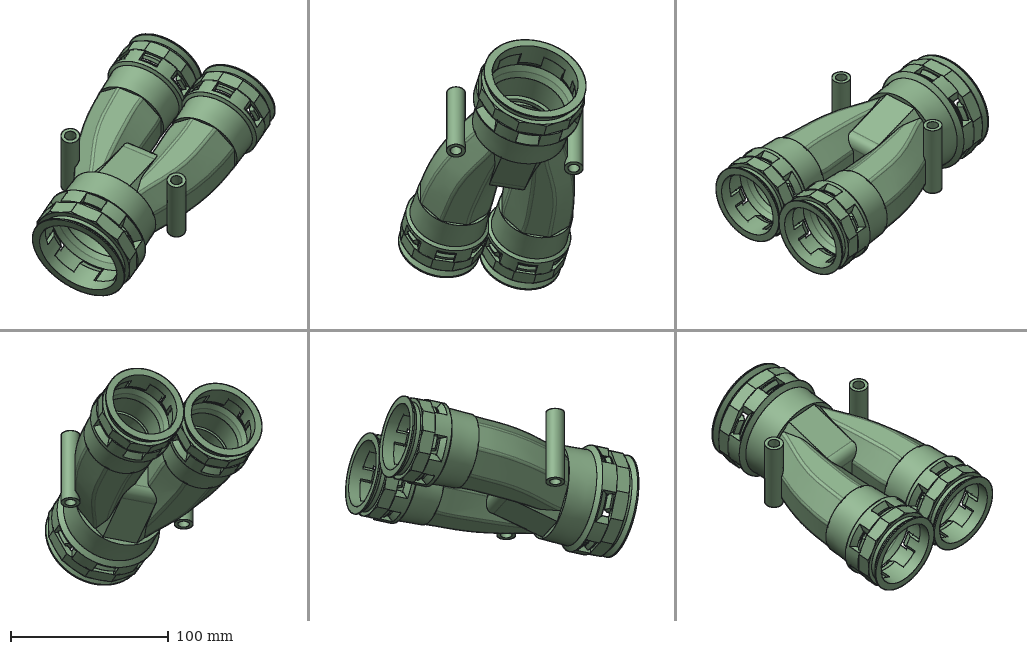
import cadquery as cq
import math

LENGTH = 165.3
WIDTH = 107.0
MIRROR_SIGNS = (-1, 1)
NUT_SIDES = 12

LIP_DEPTH = 1.0
FLARE_DEPTH = 3.6
NUT_DEPTH = 6.5
SHOULDER_DEPTH = 7.8
SEAL_CONE_DEPTH = 24.1
SEAL_END_DEPTH = 28.0
SOCKET_DEPTH = 44.6
NUT_CHAMFER = 0.7

LARGE_PORT = dict(
    flare_radius=33.0, neck_radius=30.2, ring_bore=27.8, socket_radius=25.8, bore_radius=22.6,
    collar_radius=34.5, sleeve_front=31.2, sleeve_back=30.4,
    window_start=15.7, window_end=25.0, seal_depth=20.5, claw_tip=20.0, claw_peak=17.5,
    collar_end=25.8, sleeve_start=28.5, sleeve_end=47.1,
    claw_radius=32.7, window_half_width=7.3, window_x=21.0, window_z=10.2, claw_z=18.8,
)
SMALL_PORT = dict(
    flare_radius=26.3, neck_radius=23.6, ring_bore=21.5, socket_radius=20.3, bore_radius=18.7,
    collar_radius=27.1, sleeve_front=24.8, sleeve_back=24.0,
    window_start=15.2, window_end=23.8, seal_depth=20.5, claw_tip=19.3, claw_peak=17.7,
    collar_end=26.5, sleeve_start=27.8, sleeve_end=46.8,
    claw_radius=25.5, window_half_width=6.3, window_x=16.7, window_z=8.0, claw_z=15.0,
)
BRANCH_X = WIDTH / 2 - SMALL_PORT["collar_radius"]

LEG_HALF_HEIGHT = 22.2
LEG_SIDE_HALF = LEG_HALF_HEIGHT * math.tan(math.pi / 8)
LEG_EDGE_RADIUS = 3.1
LARGE_END_Y = LARGE_PORT["sleeve_end"]
SMALL_END_Y = LENGTH - SMALL_PORT["sleeve_end"]
LEG_SECTIONS = [
    (LARGE_END_Y, 28.8, 17.2, 8.3, -6.6),
    (66.1, 37.4, 25.0, 13.5, 0.0),
    (82.6, 43.1, 30.9, 15.7, 3.6),
    (99.2, 46.8, 33.7, 17.4, 4.0),
    (SMALL_END_Y, 48.6, 35.2, 17.7, 4.5),
]
PASSAGE_OVERLAP = 1.7
PASSAGE_SECTIONS = [
    (LARGE_END_Y - PASSAGE_OVERLAP, 2.0, 20.5),
    (66.1, 14.5, 19.0),
    (82.6, 21.5, 18.3),
    (102.5, 25.6, SMALL_PORT["bore_radius"]),
    (LENGTH - SOCKET_DEPTH, BRANCH_X, SMALL_PORT["bore_radius"]),
]

WEB_HALF_WIDTH = 11.4
WEB_FLANK_X = 23.1
WEB_BACK_HALF_HEIGHT = 27.3
WEB_FRONT_HALF_HEIGHT = 17.9
WEB_FRONT_Y = 81.0
WEB_NOSE_RADIUS = 7.1
CROTCH_RADIUS = 4.1

TUBE_X = 38.2
TUBE_Y = 60.3
TUBE_RADIUS = 6.0
TUBE_BORE_RADIUS = 3.6
TUBE_BOTTOM = -15.0
TUBE_TOP = 34.9


def revolve_profile(points):
    """Revolve (radius, depth) points about the Y axis."""
    return cq.Workplane("XY").polyline(points).close().revolve(360, (0, 0, 0), (0, 1, 0))


def box_between(low, high):
    size = [b - a for a, b in zip(low, high)]
    return cq.Workplane("XY").box(*size, centered=False).translate(low)


def six_openings(port, corner_height):
    """Six blocks around the port axis: top, bottom and one in each corner."""
    reach = port["collar_radius"]
    half = port["window_half_width"]
    top = box_between((-half, 0, 0), (half, SOCKET_DEPTH, reach))
    corner = box_between((port["window_x"], 0, port["window_z"]), (reach, SOCKET_DEPTH, corner_height))
    blocks = top.union(corner).union(corner.mirror("YZ"))
    return blocks.union(blocks.mirror("XY"))


def at_small_port(body, sign):
    return body.rotate((0, 0, 0), (0, 0, 1), 180).translate((sign * BRANCH_X, LENGTH, 0))


def make_locking_ring(port):
    bore = port["ring_bore"]
    neck = port["neck_radius"]
    flare = port["flare_radius"]
    sleeve = revolve_profile([
        (bore, 0), (flare, 0), (flare, LIP_DEPTH), (neck, FLARE_DEPTH),
        (neck, SHOULDER_DEPTH), (bore, SHOULDER_DEPTH),
    ])
    heel_radius = (neck + port["claw_radius"]) / 2
    claw_band = revolve_profile([
        (bore, SHOULDER_DEPTH), (neck, SHOULDER_DEPTH), (neck, port["window_start"]),
        (heel_radius, port["window_start"]), (port["claw_radius"], port["claw_peak"]),
        (neck, port["claw_tip"]), (bore, port["window_start"]),
    ])
    return sleeve.union(claw_band.intersect(six_openings(port, port["claw_z"])))


def make_seal(port):
    neck = port["neck_radius"]
    return revolve_profile([
        (neck, port["seal_depth"]), (neck, SEAL_END_DEPTH), (port["socket_radius"], SEAL_END_DEPTH),
        (port["ring_bore"], SEAL_CONE_DEPTH),
    ])


def port_shell(port):
    """Solid outside of a port: twelve-sided rim, collar, tapered sleeve."""
    corner_radius = port["collar_radius"]
    flat_radius = corner_radius * math.cos(math.pi / NUT_SIDES)
    rim = (
        cq.Workplane("XZ", origin=(0, NUT_DEPTH, 0))
        .polygon(NUT_SIDES, 2 * corner_radius)
        .extrude(-(port["window_start"] - NUT_DEPTH))
        .rotate((0, 0, 0), (0, 1, 0), 180 / NUT_SIDES)
    )
    rim_limit = revolve_profile([
        (0, NUT_DEPTH), (flat_radius, NUT_DEPTH), (corner_radius, NUT_DEPTH + NUT_CHAMFER),
        (corner_radius, port["window_start"]), (0, port["window_start"]),
    ])
    body = revolve_profile([
        (0, port["window_start"]), (port["collar_radius"], port["window_start"]),
        (port["collar_radius"], port["collar_end"]), (port["sleeve_front"], port["sleeve_start"]),
        (port["sleeve_back"], port["sleeve_end"]), (0, port["sleeve_end"]),
    ])
    return rim.intersect(rim_limit).union(body)


def port_cavity(port):
    """Everything cut from a port: ring and seal seat, conduit socket, bore and six windows."""
    neck = port["neck_radius"]
    collar = port["collar_radius"]
    bore_steps = revolve_profile([
        (0, NUT_DEPTH), (neck, NUT_DEPTH), (neck, SEAL_END_DEPTH),
        (port["socket_radius"], SEAL_END_DEPTH), (port["socket_radius"], SOCKET_DEPTH),
        (port["bore_radius"], SOCKET_DEPTH), (port["bore_radius"], port["sleeve_end"]),
        (0, port["sleeve_end"]),
    ])
    window_band = revolve_profile([
        (neck, port["window_start"]), (collar, port["window_start"]),
        (collar, port["window_end"]), (neck, port["seal_depth"]),
    ])
    return bore_steps.union(window_band.intersect(six_openings(port, collar)))


def leg_section(y, outer, flat_outer, flat_inner, inner):
    """Octagon across the leg with rounded corners."""
    top = LEG_HALF_HEIGHT
    side = LEG_SIDE_HALF
    corners = [
        (outer, y, -side), (outer, y, side), (flat_outer, y, top), (flat_inner, y, top),
        (inner, y, side), (inner, y, -side), (flat_inner, y, -top), (flat_outer, y, -top),
    ]
    outline = cq.Wire.makePolygon([cq.Vector(*corner) for corner in corners], close=True)
    return outline.fillet2D(LEG_EDGE_RADIUS, outline.Vertices())


def make_leg():
    return cq.Workplane(cq.Solid.makeLoft([leg_section(*section) for section in LEG_SECTIONS]))


def make_passages():
    """Both leg passages, joined and rounded where they part."""
    rings = [
        cq.Wire.makeCircle(radius, cq.Vector(x, y, 0), cq.Vector(0, 1, 0))
        for y, x, radius in PASSAGE_SECTIONS
    ]
    passage = cq.Workplane(cq.Solid.makeLoft(rings))
    crotch_zone = cq.selectors.BoxSelector(
        (-CROTCH_RADIUS, LARGE_END_Y, -LEG_HALF_HEIGHT), (CROTCH_RADIUS, SMALL_END_Y, LEG_HALF_HEIGHT)
    )
    return passage.union(passage.mirror("YZ")).edges(crotch_zone).fillet(CROTCH_RADIUS)


def flank_section(y, half_height):
    """Flat top and bottom with 45 degree flanks."""
    flank_z = half_height - (WEB_FLANK_X - WEB_HALF_WIDTH)
    right = [
        (WEB_HALF_WIDTH, -half_height), (WEB_FLANK_X, -flank_z),
        (WEB_FLANK_X, flank_z), (WEB_HALF_WIDTH, half_height),
    ]
    left = [(-x, -z) for x, z in right]
    return cq.Wire.makePolygon([cq.Vector(x, y, z) for x, z in right + left], close=True)


def make_web_flanks():
    back = flank_section(LARGE_END_Y, WEB_BACK_HALF_HEIGHT)
    front = flank_section(WEB_FRONT_Y, WEB_FRONT_HALF_HEIGHT)
    return cq.Workplane(cq.Solid.makeLoft([back, front], True))


def make_web():
    """Wedge that fills the crotch, with a rounded nose towards the small ports."""
    nose_y = WEB_FRONT_Y + WEB_NOSE_RADIUS
    nose_z = WEB_FRONT_HALF_HEIGHT - WEB_NOSE_RADIUS
    arc_mid = WEB_NOSE_RADIUS * math.sqrt(0.5)
    return (
        cq.Workplane("YZ", origin=(-WEB_HALF_WIDTH, 0, 0))
        .moveTo(LARGE_END_Y, -WEB_BACK_HALF_HEIGHT)
        .lineTo(WEB_FRONT_Y, -WEB_FRONT_HALF_HEIGHT)
        .threePointArc((WEB_FRONT_Y + arc_mid, -nose_z - arc_mid), (nose_y, -nose_z))
        .lineTo(nose_y, nose_z)
        .threePointArc((WEB_FRONT_Y + arc_mid, nose_z + arc_mid), (WEB_FRONT_Y, WEB_FRONT_HALF_HEIGHT))
        .lineTo(LARGE_END_Y, WEB_BACK_HALF_HEIGHT)
        .close()
        .extrude(2 * WEB_HALF_WIDTH)
    )


def tube_cylinder(radius, sign):
    return (
        cq.Workplane("XY", origin=(sign * TUBE_X, TUBE_Y, TUBE_BOTTOM))
        .circle(radius)
        .extrude(TUBE_TOP - TUBE_BOTTOM)
    )


def make_housing():
    leg = make_leg()
    body = port_shell(LARGE_PORT).union(make_web()).union(make_web_flanks())
    for sign in MIRROR_SIGNS:
        body = body.union(leg if sign > 0 else leg.mirror("YZ"))
        body = body.union(at_small_port(port_shell(SMALL_PORT), sign))
        body = body.union(tube_cylinder(TUBE_RADIUS, sign))
    body = body.cut(port_cavity(LARGE_PORT)).cut(make_passages())
    for sign in MIRROR_SIGNS:
        body = body.cut(at_small_port(port_cavity(SMALL_PORT), sign))
        body = body.cut(tube_cylinder(TUBE_BORE_RADIUS, sign))
    return body


housing = make_housing()
locking_rings = [make_locking_ring(LARGE_PORT)]
seals = [make_seal(LARGE_PORT)]
for port_sign in MIRROR_SIGNS:
    locking_rings.append(at_small_port(make_locking_ring(SMALL_PORT), port_sign))
    seals.append(at_small_port(make_seal(SMALL_PORT), port_sign))

result = cq.Compound.makeCompound([
    housing.solids().val(),
    *[ring.solids().val() for ring in locking_rings],
    *[seal.val() for seal in seals],
])